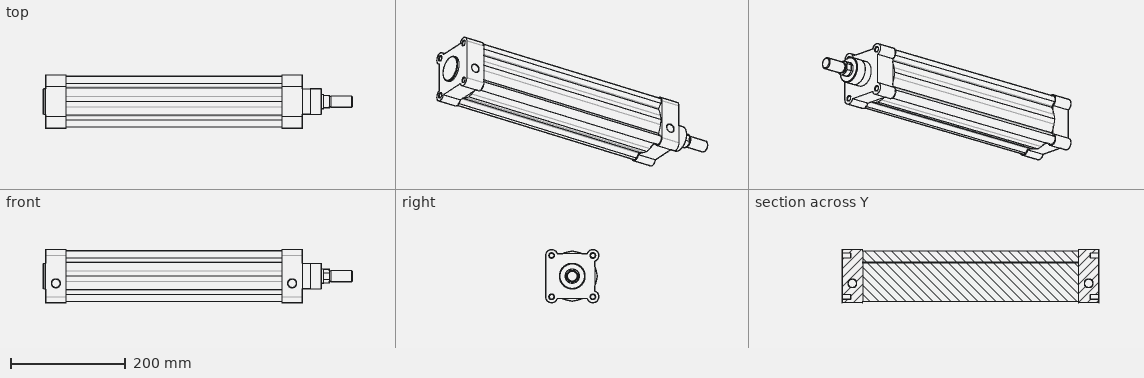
import cadquery as cq
import math


body_length = 448.0
cap_length = 36.0
barrel_length = body_length - 2 * cap_length
front_face = body_length

cap_half_width = 46.5
screw_offset = 36.0
corner_radius = cap_half_width - screw_offset
recess_half_width = 39.3
screw_hole_diameter = 8.0
screw_hole_depth = 15.0
screw_hole_chamfer = 1.0
port_diameter = 14.5
port_chamfer = 0.7
port_depth = 20.0
port_height = -12.5

boss_diameter = 45.0
boss_chamfer = 1.2
rear_boss_length = 4.0
front_boss_length = 33.5
front_boss_root_length = 14.0
front_boss_root_diameter = boss_diameter - 0.4

barrel_radius = 43.0
ridge_half_width = 9.0
valley_edge = 23.5
valley_root = 24.6
lobe_radius = 8.5
lobe_edge = 32.0

rod_diameter = 25.0
shoulder_length = 46.8
wrench_start = 37.0
wrench_diameter = 24.6
flat_width = 22.0
neck_diameter = 18.0
neck_length = 3.2
thread_diameter = 20.0
thread_length = 40.0
thread_chamfer = 1.5


def along_x(x):
    """Workplane facing +X at the given X; local x is Y and local y is Z."""
    return cq.Workplane("YZ", origin=(x, 0, 0))


def cylinder(x, length, diameter):
    return along_x(x).circle(diameter / 2).extrude(length)


def screw_positions():
    return [(y, z) for y in (-screw_offset, screw_offset) for z in (-screw_offset, screw_offset)]


def cap_block(x):
    """Square block with a round lobe at each corner, flat across the whole -Y side."""
    block = along_x(x).rect(2 * recess_half_width, 2 * recess_half_width).extrude(cap_length)
    lobes = along_x(x).pushPoints(screw_positions()).circle(corner_radius).extrude(cap_length)
    port_side = (
        along_x(x)
        .center(-screw_offset - corner_radius / 2, 0)
        .rect(corner_radius, 2 * screw_offset)
        .extrude(cap_length)
    )
    return block.union(lobes).union(port_side).clean()


def screw_holes(face_x, inward):
    """Chamfered blind holes on the four screw axes; inward is +1 or -1 along X."""
    rim_diameter = screw_hole_diameter + 2 * screw_hole_chamfer
    holes = (
        along_x(face_x).pushPoints(screw_positions())
        .circle(screw_hole_diameter / 2).extrude(inward * screw_hole_depth)
    )
    rims = (
        along_x(face_x).pushPoints(screw_positions())
        .circle(rim_diameter / 2).extrude(inward * screw_hole_chamfer, taper=45)
    )
    return holes.union(rims)


def air_port(x):
    """Blind round port with a chamfered mouth, entering from the -Y side."""
    mouth_plane = cq.Workplane("XZ", origin=(x, -cap_half_width, port_height))
    bore = mouth_plane.circle(port_diameter / 2).extrude(-port_depth)
    mouth = mouth_plane.circle(port_diameter / 2 + port_chamfer).extrude(-port_chamfer, taper=45)
    return bore.union(mouth)


def make_rear_cap():
    boss = cylinder(-rear_boss_length, rear_boss_length, boss_diameter)
    boss = boss.faces("<X").chamfer(boss_chamfer)
    cap = cap_block(0).union(boss)
    return cap.cut(screw_holes(0, 1)).cut(air_port(cap_length / 2))


def make_front_cap():
    root = cylinder(front_face, front_boss_root_length, front_boss_root_diameter)
    collar = cylinder(
        front_face + front_boss_root_length, front_boss_length - front_boss_root_length, boss_diameter
    )
    collar = collar.faces(">X").chamfer(boss_chamfer)
    inner_face = front_face - cap_length
    cap = cap_block(inner_face).union(root).union(collar)
    cap = cap.cut(screw_holes(front_face, -1)).cut(air_port(front_face - cap_length / 2))
    return cap.cut(cylinder(inner_face, cap_length + front_boss_length, rod_diameter))


def rotate_quarters(point, quarters):
    y, z = point
    for _ in range(quarters):
        y, z = -z, y
    return y, z


def make_barrel():
    """Extrusion with a ridge in the middle of each side and a round lobe at each corner."""
    edge_angle = math.asin(ridge_half_width / barrel_radius)
    valley_angle = math.asin(valley_edge / barrel_radius)
    middle_angle = (edge_angle + valley_angle) / 2

    def on_wall(angle):
        return barrel_radius * math.cos(angle), barrel_radius * math.sin(angle)

    ridge = (barrel_radius / math.cos(edge_angle), 0)
    wall_start = on_wall(edge_angle)
    wall_middle = on_wall(middle_angle)
    wall_end = on_wall(valley_angle)
    lobe_drop = screw_offset - lobe_edge
    lobe_start = (screw_offset + math.sqrt(lobe_radius**2 - lobe_drop**2), lobe_edge)

    wall_slope = math.atan2(lobe_start[0] - wall_end[0], lobe_edge - valley_root)
    valley_radius = (valley_root - valley_edge) / math.tan(wall_slope / 2)

    def on_valley(angle):
        return (
            wall_end[0] + valley_radius * (1 - math.cos(angle)),
            valley_edge + valley_radius * math.sin(angle),
        )

    valley_middle = on_valley(wall_slope / 2)
    valley_end = on_valley(wall_slope)
    diagonal = screw_offset + lobe_radius * math.sqrt(0.5)

    def mirrored(point):
        return point[1], point[0]

    outline = along_x(cap_length).moveTo(*ridge)
    for quarters in range(4):
        def turned(point):
            return rotate_quarters(point, quarters)

        outline = (
            outline
            .lineTo(*turned(wall_start))
            .threePointArc(turned(wall_middle), turned(wall_end))
            .threePointArc(turned(valley_middle), turned(valley_end))
            .lineTo(*turned(lobe_start))
            .threePointArc(turned((diagonal, diagonal)), turned(mirrored(lobe_start)))
            .lineTo(*turned(mirrored(valley_end)))
            .threePointArc(turned(mirrored(valley_middle)), turned(mirrored(wall_end)))
            .threePointArc(turned(mirrored(wall_middle)), turned(mirrored(wall_start)))
            .lineTo(*turned(mirrored(ridge)))
        )
    return outline.close().extrude(barrel_length)


def make_rod():
    """Rod running from the barrel through the front cap to a threaded end."""
    start = front_face - cap_length
    shoulder_end = front_face + shoulder_length
    wrench_x = front_face + wrench_start
    wrench_length = shoulder_end - wrench_x
    rod = cylinder(start, wrench_x - start, rod_diameter)
    across_flats = along_x(wrench_x).rect(flat_width, wrench_diameter).extrude(wrench_length)
    wrench_section = cylinder(wrench_x, wrench_length, wrench_diameter).intersect(across_flats)
    neck = cylinder(shoulder_end, neck_length, neck_diameter)
    thread = cylinder(shoulder_end + neck_length, thread_length - neck_length, thread_diameter)
    thread = thread.faces(">X").chamfer(thread_chamfer)
    return rod.union(wrench_section).union(neck).union(thread)


rear_cap = make_rear_cap()
barrel = make_barrel()
front_cap = make_front_cap()
rod = make_rod()

result = cq.Compound.makeCompound([rear_cap.val(), barrel.val(), front_cap.val(), rod.val()])